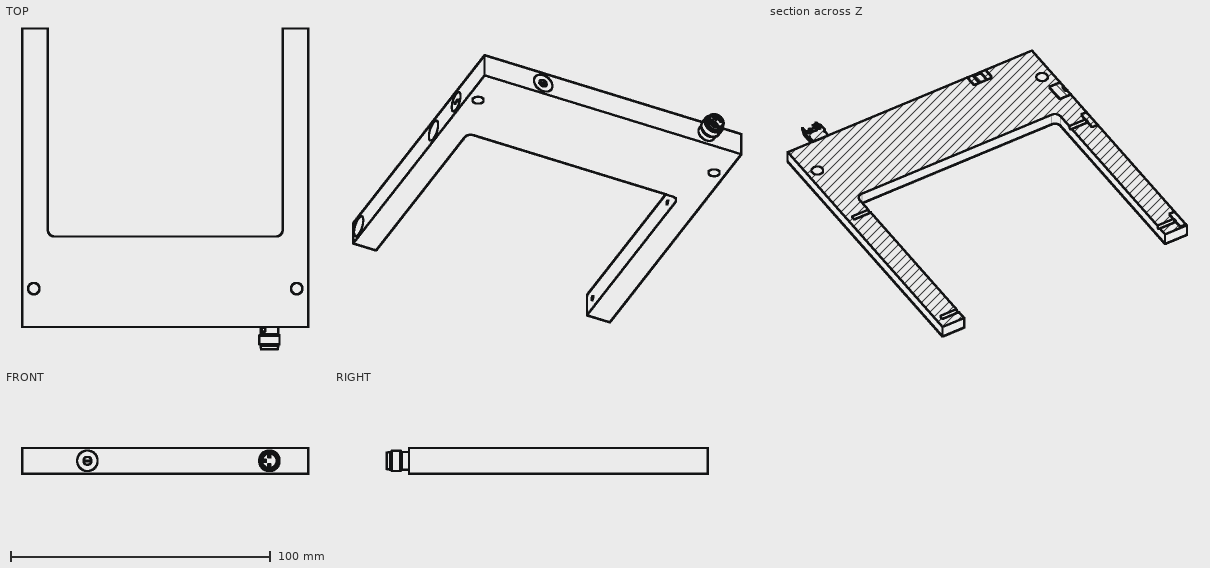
import cadquery as cq
import math

TOTAL_DEPTH = 123.5
WIDTH = 110.0
DEPTH = 115.0
THICKNESS = 10.0
ARM_WIDTH = 9.9
ARM_LENGTH = 80.0
CORNER_RADIUS = 2.5
MID_Z = THICKNESS / 2

MOUNT_DIA = 4.3
MOUNT_INSET = 4.5
MOUNT_Y = 14.8

BEAM_DIA = 1.6
BEAM_DISTANCES_FROM_TIP = (5.0, 70.3)
BEAM_YS = [DEPTH - distance for distance in BEAM_DISTANCES_FROM_TIP]
CAP_DIA = 8.0
CAP_LENGTH = 2.5
BEAM_DEPTH = ARM_WIDTH - CAP_LENGTH

ADJUSTER_LENGTH = 5.0
SLOT_DEPTH = 0.6
SIDE_ADJUSTER_DIA = 7.7
SIDE_ADJUSTER_Y = 25.0
SIDE_SLOT_LENGTH = 2.5
SIDE_SLOT_WIDTH = 0.5
FRONT_BUSHING_DIA = 7.9
FRONT_BUSHING_X = 25.1
FRONT_SCREW_DIA = 3.1
FRONT_SLOT_WIDTH = 0.4

CONNECTOR_X = 95.1
CONNECTOR_LENGTH = TOTAL_DEPTH - DEPTH
NECK_DIA = 6.9
NECK_LENGTH = 2.6
GROOVE_DIA = 6.5
GROOVE_FLANK = 0.2
COLLAR_DIA = 7.9
COLLAR_START = NECK_LENGTH + 2 * GROOVE_FLANK
COLLAR_END = 6.7
COLLAR_CHAMFER = 0.1
COLLAR_CHAMFER_LENGTH = 0.2
TIP_GROOVE_LENGTH = 0.2
TIP_TAPER_START = 7.3
TIP_DIA = 6.4
SOCKET_DIA = 5.7
SOCKET_DEPTH = 3.7
PIN_DIA = 1.0
PIN_CIRCLE_RADIUS = 1.7
PIN_RECESS = 0.5
PIN_ANGLES = (90, 180, 270)
WINDOW_DIA = 2.0
WINDOW_Y = -WINDOW_DIA / 2
WINDOW_FLOOR = 3.1


def cylinder_along_x(dia, length, x, y):
    """Cylinder at mid thickness that runs from x toward +X."""
    return cq.Workplane("YZ", origin=(x, y, MID_Z)).circle(dia / 2).extrude(length)


def cylinder_along_y(dia, length, x, y, z=MID_Z):
    """Cylinder that runs from y toward +Y."""
    return cq.Workplane("XZ", origin=(x, y, z)).circle(dia / 2).extrude(-length)


def beam_cap(y):
    return cylinder_along_x(CAP_DIA, CAP_LENGTH, 0, y)


def side_adjuster_blank():
    return cylinder_along_x(SIDE_ADJUSTER_DIA, ADJUSTER_LENGTH, 0, SIDE_ADJUSTER_Y)


def front_cylinder(dia):
    """Cylinder on the axis of the front adjuster."""
    return cylinder_along_y(dia, ADJUSTER_LENGTH, FRONT_BUSHING_X, 0)


def make_housing():
    housing = cq.Workplane("XY").box(WIDTH, DEPTH, THICKNESS, centered=False)

    opening = (
        cq.Workplane("XY", origin=(ARM_WIDTH, DEPTH - ARM_LENGTH, 0))
        .box(WIDTH - 2 * ARM_WIDTH, ARM_LENGTH, THICKNESS, centered=False)
        .edges("|Z and <Y")
        .fillet(CORNER_RADIUS)
    )
    housing = housing.cut(opening)

    mount_points = [(MOUNT_INSET, MOUNT_Y), (WIDTH - MOUNT_INSET, MOUNT_Y)]
    mount_holes = cq.Workplane("XY").pushPoints(mount_points).circle(MOUNT_DIA / 2).extrude(THICKNESS)
    housing = housing.cut(mount_holes)

    for y in BEAM_YS:
        housing = housing.cut(beam_cap(y))
        for x in (CAP_LENGTH, WIDTH - ARM_WIDTH):
            housing = housing.cut(cylinder_along_x(BEAM_DIA, BEAM_DEPTH, x, y))

    housing = housing.cut(side_adjuster_blank())
    return housing.cut(front_cylinder(FRONT_BUSHING_DIA))


def make_side_adjuster():
    slot = cq.Workplane("XY", origin=(0, SIDE_ADJUSTER_Y, MID_Z)).box(
        2 * SLOT_DEPTH, SIDE_SLOT_LENGTH, SIDE_SLOT_WIDTH
    )
    return side_adjuster_blank().cut(slot)


def make_front_bushing():
    return front_cylinder(FRONT_BUSHING_DIA).cut(front_cylinder(FRONT_SCREW_DIA))


def make_front_screw():
    slot = cq.Workplane("XY", origin=(FRONT_BUSHING_X, 0, MID_Z)).box(
        FRONT_SCREW_DIA, 2 * SLOT_DEPTH, FRONT_SLOT_WIDTH
    )
    return front_cylinder(FRONT_SCREW_DIA).cut(slot)


def connector_shell():
    neck = NECK_DIA / 2
    groove = GROOVE_DIA / 2
    collar = COLLAR_DIA / 2
    collar_edge = collar - COLLAR_CHAMFER
    socket = SOCKET_DIA / 2
    socket_floor = CONNECTOR_LENGTH - SOCKET_DEPTH
    section = [
        (0, 0),
        (neck, 0),
        (neck, NECK_LENGTH),
        (groove, NECK_LENGTH + GROOVE_FLANK),
        (neck, COLLAR_START),
        (collar_edge, COLLAR_START),
        (collar, COLLAR_START + COLLAR_CHAMFER_LENGTH),
        (collar, COLLAR_END - COLLAR_CHAMFER_LENGTH),
        (collar_edge, COLLAR_END),
        (groove, COLLAR_END),
        (groove, COLLAR_END + TIP_GROOVE_LENGTH),
        (neck, TIP_TAPER_START),
        (TIP_DIA / 2, CONNECTOR_LENGTH),
        (socket, CONNECTOR_LENGTH),
        (socket, socket_floor),
        (0, socket_floor),
    ]
    plane = cq.Plane(origin=(CONNECTOR_X, 0, MID_Z), xDir=(-1, 0, 0), normal=(0, 0, 1))
    return cq.Workplane(plane).polyline(section).close().revolve(360, (0, 0, 0), (0, 1, 0))


def make_connector():
    connector = connector_shell()

    for angle in PIN_ANGLES:
        x = CONNECTOR_X + PIN_CIRCLE_RADIUS * math.cos(math.radians(angle))
        z = MID_Z + PIN_CIRCLE_RADIUS * math.sin(math.radians(angle))
        pin = cylinder_along_y(PIN_DIA, SOCKET_DEPTH, x, PIN_RECESS - CONNECTOR_LENGTH, z)
        connector = connector.union(pin)

    window_plane = cq.Plane(origin=(CONNECTOR_X, WINDOW_Y, MID_Z), xDir=(0, 1, 0), normal=(-1, 0, 1))
    window = (
        cq.Workplane(window_plane)
        .workplane(offset=WINDOW_FLOOR)
        .circle(WINDOW_DIA / 2)
        .extrude(NECK_DIA / 2 - WINDOW_FLOOR)
    )
    return connector.cut(window)


housing = make_housing()
side_adjuster = make_side_adjuster()
front_bushing = make_front_bushing()
front_screw = make_front_screw()
connector = make_connector()
beam_caps = [beam_cap(y) for y in BEAM_YS]

result = cq.Compound.makeCompound(
    [
        housing.val(),
        side_adjuster.val(),
        front_bushing.val(),
        front_screw.val(),
        connector.val(),
        *[cap.val() for cap in beam_caps],
    ]
)